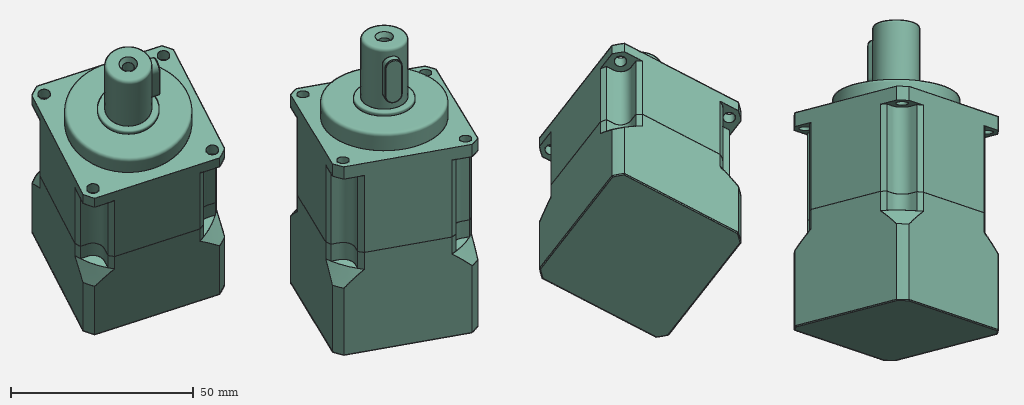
import cadquery as cq
import math

flange_size = 42.0
corner_radius = 28.0
waist_radius = 24.5

taper_start_z = 22.0
waist_start_z = 27.0
joint_z = 32.5
flange_bottom_z = 57.5
flange_top_z = 61.5
pilot_top_z = 67.0
collar_top_z = 68.0
shaft_top_z = 87.5
rear_edge_chamfer = 0.3

bolt_circle_diameter = 50.0
bolt_offset = bolt_circle_diameter / 2 / math.sqrt(2)
bolt_hole_diameter = 3.4
screw_groove_radius = 3.5

pilot_diameter = 35.0
pilot_edge_radius = 1.0
collar_diameter = 17.0
collar_edge_radius = 0.5
shaft_diameter = 13.0
shaft_edge_radius = 1.0

centre_hole_diameter = 3.3
centre_hole_depth = 12.0
countersink_diameter = 5.0
countersink_angle = 60.0
drill_tip_angle = 118.0

key_width = 5.0
key_height = 5.0
key_length = 14.0
key_top_y = 8.5
key_top_z = 85.0
key_edge_chamfer = 0.25


def slab(bottom_z, top_z):
    """Square slab, as wide as the housing, that keeps the part of it between two heights."""
    return (
        cq.Workplane("XY")
        .workplane(offset=bottom_z)
        .rect(flange_size, flange_size)
        .extrude(top_z - bottom_z)
    )


def rounded_cylinder(diameter, bottom_z, top_z, edge_radius):
    """Cylinder on the Z axis between two heights, with a rounded top edge."""
    blank = cq.Workplane("XY").workplane(offset=bottom_z).circle(diameter / 2).extrude(top_z - bottom_z)
    return blank.faces(">Z").edges().fillet(edge_radius)


def turned_envelope():
    """Body of revolution that trims the corners of the square housing."""
    return (
        cq.Workplane("XZ")
        .moveTo(0, 0)
        .lineTo(corner_radius, 0)
        .lineTo(corner_radius, taper_start_z)
        .lineTo(waist_radius, waist_start_z)
        .lineTo(waist_radius, flange_bottom_z)
        .lineTo(corner_radius, flange_bottom_z)
        .lineTo(corner_radius, flange_top_z)
        .lineTo(0, flange_top_z)
        .close()
        .revolve(360, (0, 0, 0), (0, 1, 0))
    )


def screw_grooves():
    """Four corner notches with a round root around each screw axis."""
    notch_size = flange_size / 2 - bolt_offset + screw_groove_radius
    notch_centre = flange_size / 2 - notch_size / 2
    inner_edges = cq.selectors.BoxSelector(
        (-notch_centre, -notch_centre, waist_start_z),
        (notch_centre, notch_centre, flange_bottom_z),
    )
    return (
        cq.Workplane("XY")
        .workplane(offset=waist_start_z)
        .rect(2 * notch_centre, 2 * notch_centre, forConstruction=True)
        .vertices()
        .rect(notch_size, notch_size)
        .extrude(flange_bottom_z - waist_start_z)
        .edges("|Z")
        .edges(inner_edges)
        .fillet(screw_groove_radius)
    )


def housing_block():
    """Full housing block, before it is split at the joint."""
    block = slab(0, flange_top_z).intersect(turned_envelope())
    block = block.faces("<Z").edges().chamfer(rear_edge_chamfer)
    return block.cut(screw_grooves())


def rear_housing():
    """Plain rear housing, up to the joint."""
    return housing_block().intersect(slab(0, joint_z))


def centre_hole():
    """Drilled hole with a pointed bottom and a countersunk mouth."""
    hole_radius = centre_hole_diameter / 2
    mouth_radius = countersink_diameter / 2
    mouth_depth = (mouth_radius - hole_radius) / math.tan(math.radians(countersink_angle / 2))
    tip_length = hole_radius / math.tan(math.radians(drill_tip_angle / 2))
    hole_bottom_z = shaft_top_z - centre_hole_depth
    return (
        cq.Workplane("XZ")
        .moveTo(0, shaft_top_z)
        .lineTo(mouth_radius, shaft_top_z)
        .lineTo(hole_radius, shaft_top_z - mouth_depth)
        .lineTo(hole_radius, hole_bottom_z)
        .lineTo(0, hole_bottom_z - tip_length)
        .close()
        .revolve(360, (0, 0, 0), (0, 1, 0))
    )


def key_blank():
    """Round-ended key with sharp edges; also the shape of its keyway."""
    return (
        cq.Workplane("XZ", origin=(0, key_top_y, key_top_z - key_length / 2))
        .slot2D(key_length, key_width, 90)
        .extrude(key_height)
    )


def output_key():
    """Key with a chamfer around its outer face."""
    return key_blank().faces(">Y").edges().chamfer(key_edge_chamfer)


def front_housing():
    """Flanged front housing with its pilot, collar and output shaft."""
    body = housing_block().intersect(slab(joint_z, flange_top_z))
    bolt_holes = (
        cq.Workplane("XY")
        .workplane(offset=flange_bottom_z)
        .rect(2 * bolt_offset, 2 * bolt_offset, forConstruction=True)
        .vertices()
        .circle(bolt_hole_diameter / 2)
        .extrude(flange_top_z - flange_bottom_z)
    )
    pilot = rounded_cylinder(pilot_diameter, flange_top_z, pilot_top_z, pilot_edge_radius)
    collar = rounded_cylinder(collar_diameter, pilot_top_z, collar_top_z, collar_edge_radius)
    shaft = rounded_cylinder(shaft_diameter, collar_top_z, shaft_top_z, shaft_edge_radius)
    body = body.cut(bolt_holes).union(pilot).union(collar).union(shaft)
    return body.cut(centre_hole()).cut(key_blank())


rear = rear_housing()
front = front_housing()
key = output_key()

result = cq.Compound.makeCompound([rear.val(), front.val(), key.val()])